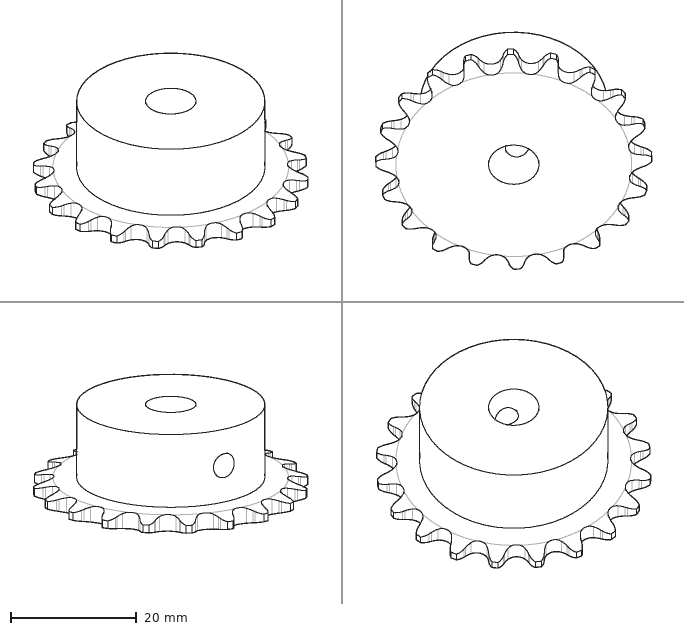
import cadquery as cq
import math


TOOTH_COUNT = 20
CHAIN_PITCH = 6.35
ROLLER_DIAMETER = 3.3
ROLLER_CLEARANCE = 0.0385

PLATE_THICKNESS = 2.8
BEVEL_START_RADIUS = 18.75
TIP_THICKNESS = 1.3
RIM_MARGIN = 0.45

TOTAL_HEIGHT = 15.0
HUB_DIAMETER = 30.0
BORE_DIAMETER = 8.0
SET_SCREW_DIAMETER = 4.0

HALF_TOOTH_ANGLE = math.pi / TOOTH_COUNT
PITCH_RADIUS = CHAIN_PITCH / 2 / math.sin(HALF_TOOTH_ANGLE)
TIP_RADIUS = CHAIN_PITCH / 2 * (0.6 + 1 / math.tan(HALF_TOOTH_ANGLE))

SEAT_RADIUS = 0.50025 * ROLLER_DIAMETER + ROLLER_CLEARANCE
SEAT_ANGLE = math.radians(35 + 60 / TOOTH_COUNT)
WORKING_ANGLE = math.radians(18 - 56 / TOOTH_COUNT)
TOPPING_ANGLE = math.radians(17 - 64 / TOOTH_COUNT)
WORKING_CENTER_DISTANCE = 0.8 * ROLLER_DIAMETER
WORKING_RADIUS = WORKING_CENTER_DISTANCE + SEAT_RADIUS
TOPPING_CENTER_DISTANCE = 1.4 * ROLLER_DIAMETER
TOPPING_RADIUS = (
    WORKING_CENTER_DISTANCE * math.cos(WORKING_ANGLE)
    + TOPPING_CENTER_DISTANCE * math.cos(TOPPING_ANGLE)
    - WORKING_RADIUS
)


def offset(point, distance, angle):
    """Point at a distance from another point, in the direction of an angle."""
    return (point[0] + distance * math.cos(angle), point[1] + distance * math.sin(angle))


def mirror(point):
    """Mirror a point across the Y axis."""
    return (-point[0], point[1])


def rotate(point, angle):
    """Turn a point about the sprocket axis."""
    cosine = math.cos(angle)
    sine = math.sin(angle)
    return (point[0] * cosine - point[1] * sine, point[0] * sine + point[1] * cosine)


def left_flank():
    """Points up the left side of the tooth gap on +Y, from the seat end to the tooth tip."""
    seat_center = (0, PITCH_RADIUS)
    working_center = offset(seat_center, WORKING_CENTER_DISTANCE, SEAT_ANGLE)
    seat_direction = math.pi + SEAT_ANGLE
    flank_direction = seat_direction - WORKING_ANGLE
    seat_end = offset(working_center, WORKING_RADIUS, seat_direction)
    working_mid = offset(working_center, WORKING_RADIUS, seat_direction - WORKING_ANGLE / 2)
    working_end = offset(working_center, WORKING_RADIUS, flank_direction)

    topping_center = offset(seat_center, TOPPING_CENTER_DISTANCE, math.pi + HALF_TOOTH_ANGLE)
    topping_start_direction = flank_direction - math.pi
    center_radius = math.hypot(*topping_center)
    center_direction = math.atan2(topping_center[1], topping_center[0])
    tip_cosine = (TIP_RADIUS**2 - center_radius**2 - TOPPING_RADIUS**2) / (2 * center_radius * TOPPING_RADIUS)
    topping_end_direction = center_direction - math.acos(tip_cosine)
    topping_mid_direction = (topping_start_direction + topping_end_direction) / 2
    topping_start = offset(topping_center, TOPPING_RADIUS, topping_start_direction)
    topping_mid = offset(topping_center, TOPPING_RADIUS, topping_mid_direction)
    topping_end = offset(topping_center, TOPPING_RADIUS, topping_end_direction)
    return [seat_end, working_mid, working_end, topping_start, topping_mid, topping_end]


def toothed_blank():
    """Plate with the full tooth outline, gaps centered on the X and Y axes."""
    left = left_flank()
    right = [mirror(point) for point in left]
    seat_bottom = (0, PITCH_RADIUS - SEAT_RADIUS)
    first_tip = right[-1]
    outline = cq.Workplane("XY").moveTo(*first_tip)
    for index in range(TOOTH_COUNT):
        turn = 2 * HALF_TOOTH_ANGLE * index
        r_seat, r_work_mid, r_work, r_top, r_top_mid, _ = [rotate(point, turn) for point in right]
        l_seat, l_work_mid, l_work, l_top, l_top_mid, l_tip = [rotate(point, turn) for point in left]
        tooth_top = rotate((0, TIP_RADIUS), turn + HALF_TOOTH_ANGLE)
        next_tip = rotate(first_tip, turn + 2 * HALF_TOOTH_ANGLE)
        outline = (
            outline.threePointArc(r_top_mid, r_top)
            .lineTo(*r_work)
            .threePointArc(r_work_mid, r_seat)
            .threePointArc(rotate(seat_bottom, turn), l_seat)
            .threePointArc(l_work_mid, l_work)
            .lineTo(*l_top)
            .threePointArc(l_top_mid, l_tip)
            .threePointArc(tooth_top, next_tip)
        )
    return outline.close().extrude(PLATE_THICKNESS)


def bevel_envelope():
    """Disc that thins toward the tooth tips by a cone on each face, continued past the tips."""
    tip_drop = (PLATE_THICKNESS - TIP_THICKNESS) / 2
    slope = tip_drop / (TIP_RADIUS - BEVEL_START_RADIUS)
    rim_radius = TIP_RADIUS + RIM_MARGIN
    rim_drop = slope * (rim_radius - BEVEL_START_RADIUS)
    half_section = [
        (0, 0),
        (BEVEL_START_RADIUS, 0),
        (rim_radius, rim_drop),
        (rim_radius, PLATE_THICKNESS - rim_drop),
        (BEVEL_START_RADIUS, PLATE_THICKNESS),
        (0, PLATE_THICKNESS),
    ]
    return cq.Workplane("XZ").polyline(half_section).close().revolve(360, (0, 0), (0, 1))


def set_screw_hole():
    """Radial hole from the bore out through the +Y side of the hub, at mid height of the hub."""
    mid_height = (PLATE_THICKNESS + TOTAL_HEIGHT) / 2
    return (
        cq.Workplane("XZ", origin=(0, 0, mid_height))
        .circle(SET_SCREW_DIAMETER / 2)
        .extrude(-HUB_DIAMETER)
    )


plate = toothed_blank().intersect(bevel_envelope())
hub = cq.Workplane("XY").circle(HUB_DIAMETER / 2).extrude(TOTAL_HEIGHT)
bore = cq.Workplane("XY").circle(BORE_DIAMETER / 2).extrude(TOTAL_HEIGHT)

result = plate.union(hub).cut(bore).cut(set_screw_hole())